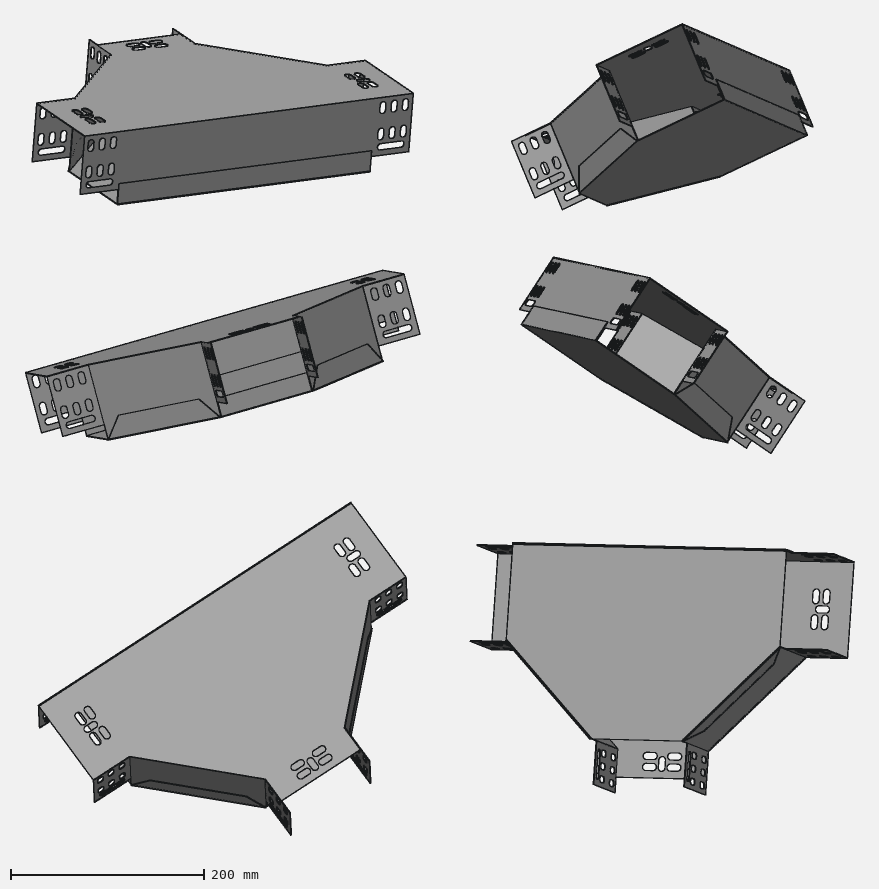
import cadquery as cq
import math


ROLL = -28.9
PITCH = 19.3
YAW = 61.2

SHEET = 1.0
RUN_LENGTH = 392.3
RUN_WIDTH = 101.0
BRANCH_WIDTH = 100.8
LUG_LENGTH = 45.5
LUG_DEPTH = 65.0
TOTAL_DEPTH = 81.5
BRANCH_NOTCH = 16.0
BEND_ANGLE = 45.0
LIP_HEIGHT = 23.5
LIP_TAPER = 20.5

LUG_SLOT_WIDTH = 7.0
LUG_SLOT_LENGTH = 13.0
LUG_SLOT_PITCH = 13.5
LUG_SLOT_COUNT = 3
LUG_SLOT_ROWS = [12.0, 41.0]
LUG_SLOT_END_GAP = 8.5
LONG_SLOT_LENGTH = 31.5
LONG_SLOT_END_GAP = 6.5
LONG_SLOT_DEPTH = 55.5

PLATE_SLOT_LENGTH = 15.5
PLATE_SLOT_WIDTH = 7.3
MIDDLE_SLOT_END_GAP = 31.0
OUTER_SLOT_SETBACK = 2.3
OUTER_SLOT_SIDE_STEP = 13.5
OUTER_SLOT_END_STEP = 5.8

HALF_RUN = RUN_LENGTH / 2
HALF_BRANCH = BRANCH_WIDTH / 2
RUN_LUG_START = HALF_RUN - LUG_LENGTH
DIAGONAL_SPAN = RUN_LUG_START - HALF_BRANCH
BRANCH_LUG_START = RUN_WIDTH + DIAGONAL_SPAN
BRANCH_END = BRANCH_LUG_START + LUG_LENGTH
WALL_DEPTH = TOTAL_DEPTH - SHEET
CUT_MARGIN = 4.0


def symmetric_outline(right_half):
    """Closed plan outline made of the given +X points and their mirror images."""
    left_half = [(-x, y) for x, y in reversed(right_half)]
    return cq.Workplane("XY").polyline(right_half + left_half).close()


def tee_outline(run_end, branch_end, inset):
    """Plan outline of the tee's walls, moved inwards by an inset; the open ends stay where they are given."""
    bend_shift = inset * math.tan(math.radians(BEND_ANGLE / 2))
    return symmetric_outline(
        [
            (run_end, inset),
            (run_end, RUN_WIDTH - inset),
            (RUN_LUG_START - bend_shift, RUN_WIDTH - inset),
            (HALF_BRANCH - inset, BRANCH_LUG_START - bend_shift),
            (HALF_BRANCH - inset, branch_end),
        ]
    )


def both_sides(shape):
    """The shape together with its mirror image on the other half of the run."""
    return shape.union(shape.mirror("YZ"))


def box_between(x_range, y_range, z_range):
    lows, highs = zip(x_range, y_range, z_range)
    sizes = [high - low for low, high in zip(lows, highs)]
    return cq.Workplane("XY").box(*sizes, centered=False).translate(lows)


def tray_shell():
    outer = tee_outline(HALF_RUN, BRANCH_END, 0).extrude(-WALL_DEPTH)
    inside = tee_outline(HALF_RUN + CUT_MARGIN, BRANCH_END + CUT_MARGIN, SHEET).extrude(-WALL_DEPTH)
    return outer.cut(inside.translate((0, 0, -SHEET)))


def space_below_lugs():
    z_range = (-WALL_DEPTH - CUT_MARGIN, -LUG_DEPTH)
    run_end = box_between(
        (RUN_LUG_START, HALF_RUN + CUT_MARGIN), (-CUT_MARGIN, RUN_WIDTH + CUT_MARGIN), z_range
    )
    branch_end = box_between(
        (-HALF_BRANCH - CUT_MARGIN, HALF_BRANCH + CUT_MARGIN),
        (BRANCH_LUG_START, BRANCH_END + CUT_MARGIN),
        z_range,
    )
    return both_sides(run_end).union(branch_end)


def branch_notch():
    half_width = HALF_BRANCH - SHEET
    return box_between(
        (-half_width, half_width),
        (BRANCH_END - BRANCH_NOTCH, BRANCH_END + CUT_MARGIN),
        (-SHEET - CUT_MARGIN, CUT_MARGIN),
    )


def lug_slots(plane, through):
    """Slots of a lug: the plane's x runs inwards from the free end and its y runs up from the base plate."""
    long_slot_middle = LONG_SLOT_END_GAP + LONG_SLOT_LENGTH / 2
    upright_centres = [
        (LUG_SLOT_END_GAP + number * LUG_SLOT_PITCH, -depth)
        for depth in LUG_SLOT_ROWS
        for number in range(LUG_SLOT_COUNT)
    ]
    upright = cq.Workplane(plane).pushPoints(upright_centres).slot2D(LUG_SLOT_LENGTH, LUG_SLOT_WIDTH, 90)
    lengthwise = (
        cq.Workplane(plane)
        .center(long_slot_middle, -LONG_SLOT_DEPTH)
        .slot2D(LONG_SLOT_LENGTH, LUG_SLOT_WIDTH)
    )
    return upright.extrude(through, both=True).union(lengthwise.extrude(through, both=True))


def all_lug_slots():
    """One cutter through both run lugs at each end, and one through both branch lugs."""
    run_plane = cq.Plane(origin=(-HALF_RUN, 0, 0), xDir=(1, 0, 0), normal=(0, -1, 0))
    branch_plane = cq.Plane(origin=(0, BRANCH_END, 0), xDir=(0, -1, 0), normal=(-1, 0, 0))
    run_slots = lug_slots(run_plane, RUN_WIDTH + CUT_MARGIN)
    branch_slots = lug_slots(branch_plane, HALF_BRANCH + CUT_MARGIN)
    return both_sides(run_slots).union(branch_slots)


def plate_slot_group(x, y, turn):
    """Four slots around a crosswise middle one; unturned, it suits an end that faces +Y."""
    corners = [
        (side * OUTER_SLOT_SIDE_STEP, end * OUTER_SLOT_END_STEP - OUTER_SLOT_SETBACK)
        for side in (-1, 1)
        for end in (-1, 1)
    ]
    outer_slots = cq.Workplane("XY").pushPoints(corners).slot2D(PLATE_SLOT_LENGTH, PLATE_SLOT_WIDTH)
    middle_slot = cq.Workplane("XY").slot2D(PLATE_SLOT_LENGTH, PLATE_SLOT_WIDTH, 90)
    group = outer_slots.extrude(SHEET + CUT_MARGIN, both=True)
    group = group.union(middle_slot.extrude(SHEET + CUT_MARGIN, both=True))
    return group.rotate((0, 0, 0), (0, 0, 1), turn).translate((x, y, 0))


def all_plate_slots():
    run_group = plate_slot_group(HALF_RUN - MIDDLE_SLOT_END_GAP, RUN_WIDTH / 2, -90)
    branch_group = plate_slot_group(0, BRANCH_END - MIDDLE_SLOT_END_GAP, 0)
    return both_sides(run_group).union(branch_group)


def make_tray():
    tray = tray_shell()
    for cutter in (space_below_lugs(), branch_notch(), all_lug_slots(), all_plate_slots()):
        tray = tray.cut(cutter)
    return tray


def diagonal_lip():
    """Trapezoidal lip against the outside of the diagonal wall on the +X half."""
    length = DIAGONAL_SPAN * math.sqrt(2)
    plane = cq.Plane(origin=(RUN_LUG_START, RUN_WIDTH, -TOTAL_DEPTH), xDir=(-1, 1, 0), normal=(1, 1, 0))
    outline = [
        (0, 0),
        (length, 0),
        (length - LIP_TAPER, LIP_HEIGHT),
        (LIP_TAPER, LIP_HEIGHT),
    ]
    return cq.Workplane(plane).polyline(outline).close().extrude(SHEET)


def make_lid():
    right_half = [
        (RUN_LUG_START, 0),
        (RUN_LUG_START, RUN_WIDTH),
        (HALF_BRANCH, BRANCH_LUG_START),
    ]
    plate = symmetric_outline(right_half).extrude(SHEET).translate((0, 0, -TOTAL_DEPTH))
    straight_lip = box_between(
        (-RUN_LUG_START, RUN_LUG_START), (-SHEET, 0), (-TOTAL_DEPTH, LIP_HEIGHT - TOTAL_DEPTH)
    )
    return plate.union(straight_lip).union(both_sides(diagonal_lip()))


def turned(body):
    """The body rolled about X, then pitched about Y, then yawed about Z."""
    origin = (0, 0, 0)
    body = body.rotate(origin, (1, 0, 0), ROLL)
    body = body.rotate(origin, (0, 1, 0), PITCH)
    return body.rotate(origin, (0, 0, 1), YAW)


tray = turned(make_tray())
lid = turned(make_lid())

result = cq.Compound.makeCompound([tray.val(), lid.val()])